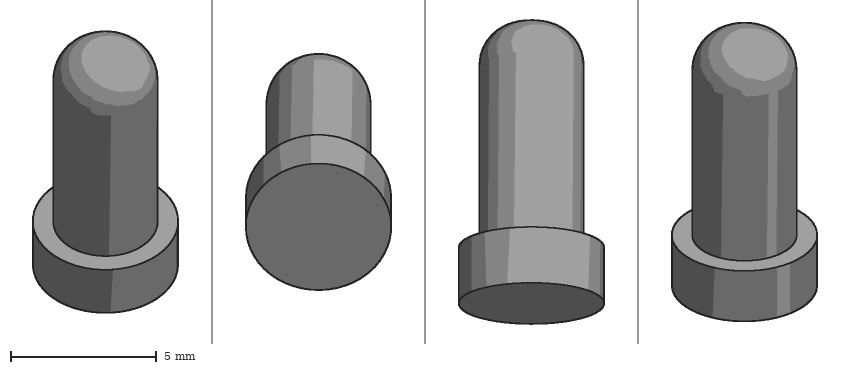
import cadquery as cq

total_height = 10.0
head_diameter = 5.0
head_height = 2.0
shank_diameter = 3.6
tip_radius = 1.5

head = cq.Workplane("XY").circle(head_diameter / 2).extrude(head_height)

shank = (
    cq.Workplane("XY")
    .circle(shank_diameter / 2)
    .extrude(total_height)
    .faces(">Z")
    .edges()
    .fillet(tip_radius)
)

result = head.union(shank)